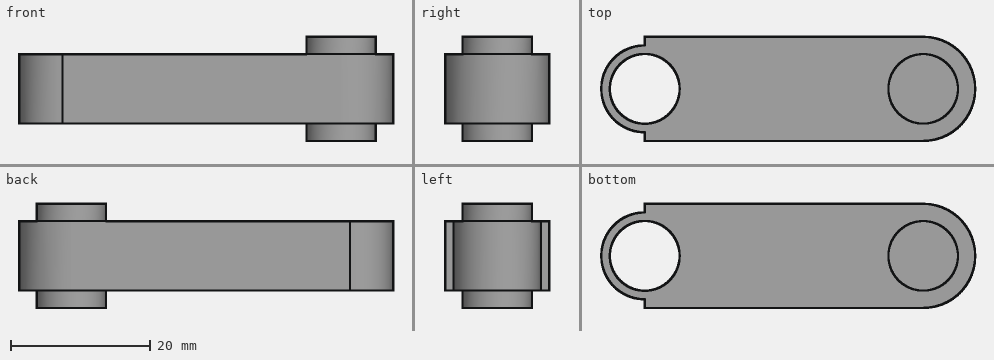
import cadquery as cq

overall_length = 53.75
arm_width = 15.0
arm_thickness = 10.0
eye_diameter = 12.5
pin_diameter = 10.0
hole_diameter = pin_diameter
pin_length = 15.0

arm_radius = arm_width / 2
eye_radius = eye_diameter / 2
pin_x = overall_length - arm_radius - eye_radius


def cylinder(center_x, diameter, height):
    """Vertical cylinder centred on the mid-plane of the arm."""
    return (
        cq.Workplane("XY")
        .center(center_x, 0)
        .circle(diameter / 2)
        .extrude(height / 2, both=True)
    )


arm = (
    cq.Workplane("XY")
    .moveTo(0, -arm_radius)
    .lineTo(pin_x, -arm_radius)
    .threePointArc((pin_x + arm_radius, 0), (pin_x, arm_radius))
    .lineTo(0, arm_radius)
    .close()
    .extrude(arm_thickness / 2, both=True)
)

eye = cylinder(0, eye_diameter, arm_thickness)
hole = cylinder(0, hole_diameter, arm_thickness)

pin = cylinder(pin_x, pin_diameter, pin_length)

result = arm.union(eye).cut(hole).union(pin)